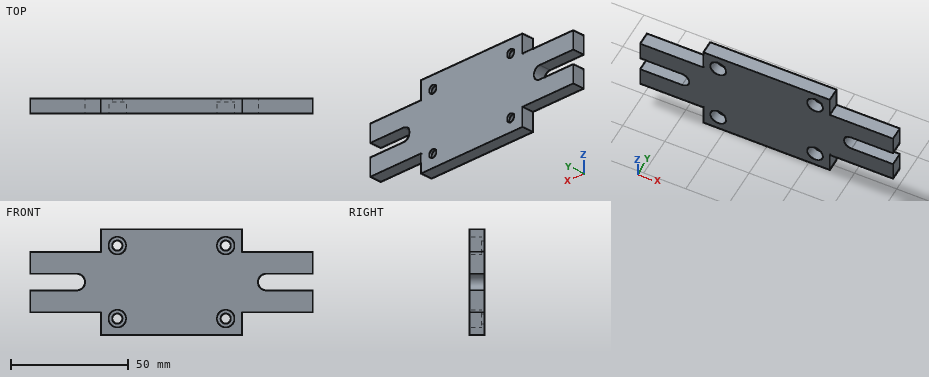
import cadquery as cq

length = 120.0
thickness = 6.5
body_width = 60.0
body_height = 45.0
arm_height = 25.7

slot_width = 7.0
slot_depth = 23.3

hole_diameter = 4.2
counterbore_diameter = 7.5
counterbore_depth = 5.0
hole_spacing_x = 46.0
hole_spacing_z = 31.0


def make_plate():
    """Body and arms, centred in X and Z, with the front face on Y = 0."""
    body = cq.Workplane("XY").box(body_width, thickness, body_height)
    arms = cq.Workplane("XY").box(length, thickness, arm_height)
    return body.union(arms).translate((0, thickness / 2, 0))


def cut_slots(plate):
    """Full-round slots, each extending past the arm end so that it is open."""
    for side in (-1, 1):
        slot = (
            cq.Workplane("XZ")
            .center(side * length / 2, 0)
            .slot2D(2 * slot_depth, slot_width)
            .extrude(-thickness)
        )
        plate = plate.cut(slot)
    return plate


def cut_screw_holes(plate):
    """Four through holes, counterbored from the front face."""
    return (
        plate.faces("<Y")
        .workplane(origin=(0, 0, 0))
        .rarray(hole_spacing_x, hole_spacing_z, 2, 2)
        .cboreHole(hole_diameter, counterbore_diameter, counterbore_depth)
    )


result = cut_screw_holes(cut_slots(make_plate()))